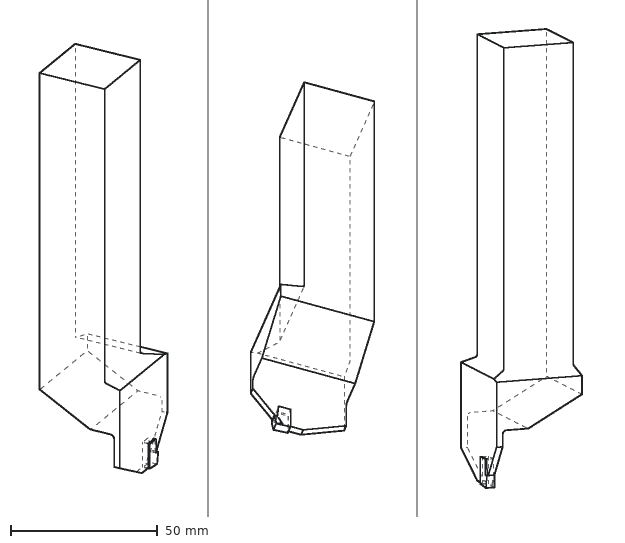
import cadquery as cq
import math

total_height = 152.4
shank_side = 25.3
head_width = 31.2
head_depth = 33.7

shoulder_root_z = 40.5
shoulder_angle = 15.0
shoulder_fillet = 0.9

ramp_top_z = 31.9
ramp_end_x = 19.7
head_bottom_z = 21.3
blade_left_x = 29.0
blade_root_fillet = 1.4
blade_bottom_z = 0.6
blade_back_corner_z = 9.3
blade_bottom_start_y = 15.5
blade_front_corner_z = 15.7
blade_bottom_end_y = 23.2

insert_right_x = 31.9
insert_back_y = 20.1
insert_top_y = 24.4
insert_top_z = 9.9
insert_neck_y = 24.8
overhang_z = 4.4
insert_nose_y = 25.9
insert_nose_z = 3.5
insert_tip_y = 25.3
insert_heel_z = 0.5
flank_width = 0.3
flank_top_y = 24.4
flank_bottom_y = 23.0


def shoulder_z(distance):
    """Height of the sloping shoulder at a distance out from the shank."""
    return shoulder_root_z - distance * math.tan(math.radians(shoulder_angle))


def extrude_along_x(points, start_x, end_x):
    """Extrude a (Y, Z) outline between two X positions."""
    return cq.Workplane("YZ", origin=(start_x, 0, 0)).polyline(points).close().extrude(end_x - start_x)


def extrude_along_y(points, depth):
    """Extrude an (X, Z) outline from Y = 0 towards +Y."""
    return cq.Workplane("XZ").polyline(points).close().extrude(-depth)


def fillet_edge_near(body, direction, point, radius):
    """Round the edge along the given direction that is nearest to a point."""
    return body.edges("|" + direction).edges(cq.NearestToPointSelector(point)).fillet(radius)


def make_front_extrusion():
    """Shank, head and blade outline in X and Z, across the whole depth."""
    outline = [
        (0, total_height),
        (0, ramp_top_z),
        (ramp_end_x, head_bottom_z),
        (blade_left_x, head_bottom_z),
        (blade_left_x, 0),
        (head_width, 0),
        (head_width, shoulder_z(head_width - shank_side)),
        (shank_side, shoulder_root_z),
        (shank_side, total_height),
    ]
    body = extrude_along_y(outline, head_depth)
    mid_y = head_depth / 2
    body = fillet_edge_near(body, "Y", (shank_side, mid_y, shoulder_root_z), shoulder_fillet)
    return fillet_edge_near(body, "Y", (blade_left_x, mid_y, head_bottom_z), blade_root_fillet)


def make_side_extrusion():
    """Shank, head and blade outline in Y and Z, across the whole width."""
    outline = [
        (0, total_height),
        (0, blade_back_corner_z),
        (blade_bottom_start_y, blade_bottom_z),
        (blade_bottom_end_y, blade_bottom_z),
        (head_depth, blade_front_corner_z),
        (head_depth, shoulder_z(head_depth - shank_side)),
        (shank_side, shoulder_root_z),
        (shank_side, total_height),
    ]
    body = extrude_along_x(outline, 0, head_width)
    return fillet_edge_near(body, "X", (head_width / 2, shank_side, shoulder_root_z), shoulder_fillet)


def make_insert_body():
    """Insert with flat sides, between the blade face and its own +X face."""
    outline = [
        (insert_back_y, insert_heel_z),
        (insert_back_y, insert_top_z),
        (insert_top_y, insert_top_z),
        (insert_neck_y, overhang_z),
        (insert_nose_y, overhang_z),
        (insert_nose_y, insert_nose_z),
        (insert_tip_y, 0),
    ]
    return extrude_along_x(outline, blade_left_x, insert_right_x)


def make_flank():
    """Flare on the -X side of the insert tip, widening downwards."""
    outline = [
        (insert_nose_y, insert_nose_z),
        (flank_top_y, insert_nose_z),
        (flank_bottom_y, insert_heel_z),
        (insert_tip_y, 0),
    ]
    wedge_outline = [
        (blade_left_x, insert_nose_z),
        (blade_left_x - flank_width, 0),
        (blade_left_x, 0),
    ]
    tip = extrude_along_x(outline, blade_left_x - flank_width, blade_left_x)
    return tip.intersect(extrude_along_y(wedge_outline, head_depth))


def make_insert_slot():
    """Slot through the blade, open below the insert and in front of its tip."""
    outline = [
        (insert_back_y, 0),
        (insert_back_y, insert_top_z),
        (insert_top_y, insert_top_z),
        (insert_neck_y, overhang_z),
        (head_depth, overhang_z),
        (head_depth, 0),
    ]
    return extrude_along_x(outline, blade_left_x, head_width)


holder = make_front_extrusion().intersect(make_side_extrusion()).cut(make_insert_slot())
insert = make_insert_body().union(make_flank())

result = cq.Compound.makeCompound([holder.solids().val(), insert.solids().val()])